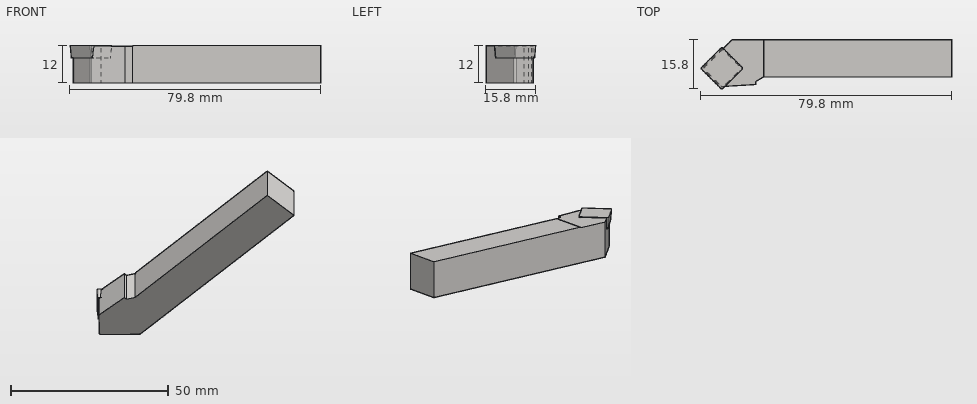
import cadquery as cq
import math

total_length = 79.8
shank_size = 12.0

head_length = 19.8
head_tip_x = 0.7
head_front_y = -15.0
heel_x = 17.4
heel_front_y = -14.4
heel_notch_y = -13.4
head_corner_radius = 0.6
head_drop = 0.2

insert_side = 9.6
insert_thickness = 3.9
insert_corner_radius = 0.4
insert_relief_angle = 5.0
insert_center_y = -9.2

insert_center_x = insert_side / math.sqrt(2) - insert_corner_radius * (math.sqrt(2) - 1)


def make_insert():
    """Square insert with rounded corners, tapering downwards from its top face."""
    square = (
        cq.Sketch()
        .rect(insert_side, insert_side, angle=45)
        .vertices()
        .fillet(insert_corner_radius)
    )
    return (
        cq.Workplane("XY", origin=(insert_center_x, insert_center_y, shank_size))
        .placeSketch(square)
        .extrude(-insert_thickness, taper=insert_relief_angle)
    )


def make_blank():
    """Shank and head as one full-height block, with the two nose corners rounded."""
    back_corner_x = head_tip_x - insert_center_y
    front_corner_x = head_tip_x + insert_center_y - head_front_y
    tip_corner = (head_tip_x, insert_center_y)
    front_corner = (front_corner_x, head_front_y)
    blank = (
        cq.Workplane("XY")
        .polyline([
            (back_corner_x, 0),
            (total_length, 0),
            (total_length, -shank_size),
            (head_length, -shank_size),
            (heel_x, heel_notch_y),
            (heel_x, heel_front_y),
            front_corner,
            tip_corner,
        ])
        .close()
        .extrude(shank_size)
    )
    for corner_x, corner_y in (tip_corner, front_corner):
        edge_point = (corner_x, corner_y, shank_size / 2)
        blank = (
            blank.edges(cq.selectors.NearestToPointSelector(edge_point))
            .fillet(head_corner_radius)
        )
    return blank


def make_head_relief():
    """Layer removed from the top of the head, ending in a 45 degree step at the shank."""
    head_top = shank_size - head_drop
    return (
        cq.Workplane("XZ")
        .polyline([
            (0, head_top),
            (head_length, head_top),
            (head_length + head_drop, shank_size),
            (0, shank_size),
        ])
        .close()
        .extrude(-head_front_y)
    )


def make_holder(seated_insert):
    """Tool holder with a pocket that matches the insert."""
    return make_blank().cut(make_head_relief()).cut(seated_insert)


insert = make_insert()
holder = make_holder(insert)

result = cq.Compound.makeCompound([holder.solids().val(), insert.val()])